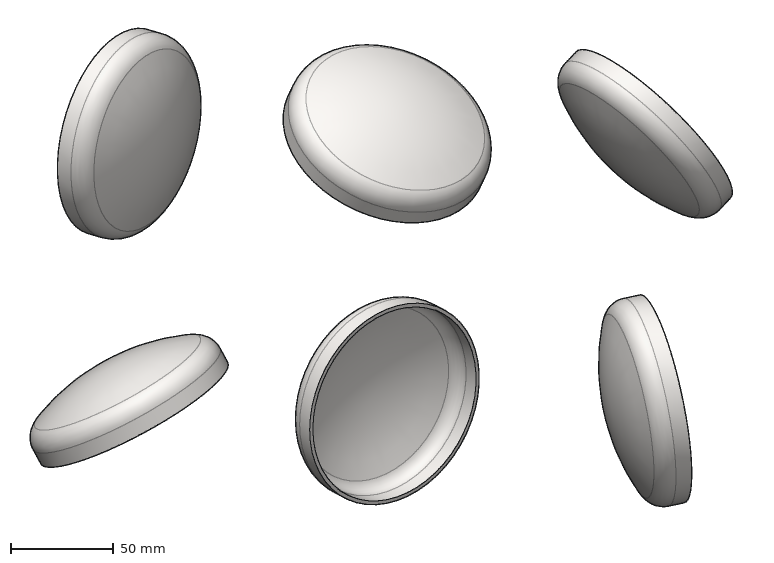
import cadquery as cq
import math

outer_radius = 52.0
wall = 2.0
total_depth = 27.7
skirt_length = 8.1
knuckle_radius = 10.4

knuckle_center_radius = outer_radius - knuckle_radius
dish_depth = total_depth - skirt_length
crown_radius = (dish_depth**2 + knuckle_center_radius**2 - knuckle_radius**2) / (
    2 * (dish_depth - knuckle_radius)
)
crown_center_x = total_depth - crown_radius
tangent_angle = math.asin(knuckle_center_radius / (crown_radius - knuckle_radius))


def crown_point(inset, angle):
    """Point (x, radius) on the crown, at an angle from the axis."""
    radius = crown_radius - inset
    return (crown_center_x + radius * math.cos(angle), radius * math.sin(angle))


def knuckle_middle(inset):
    """Point (x, radius) halfway along the knuckle arc."""
    radius = knuckle_radius - inset
    angle = (tangent_angle + math.pi / 2) / 2
    return (
        skirt_length + radius * math.cos(angle),
        knuckle_center_radius + radius * math.sin(angle),
    )


def dished_solid(inset):
    """Solid of revolution bounded by the outer surface moved inward by inset."""
    return (
        cq.Workplane("XY")
        .moveTo(0, 0)
        .lineTo(0, outer_radius - inset)
        .lineTo(skirt_length, outer_radius - inset)
        .threePointArc(knuckle_middle(inset), crown_point(inset, tangent_angle))
        .threePointArc(crown_point(inset, tangent_angle / 2), crown_point(inset, 0))
        .close()
        .revolve(360, (0, 0, 0), (1, 0, 0))
    )


result = dished_solid(0).cut(dished_solid(wall))